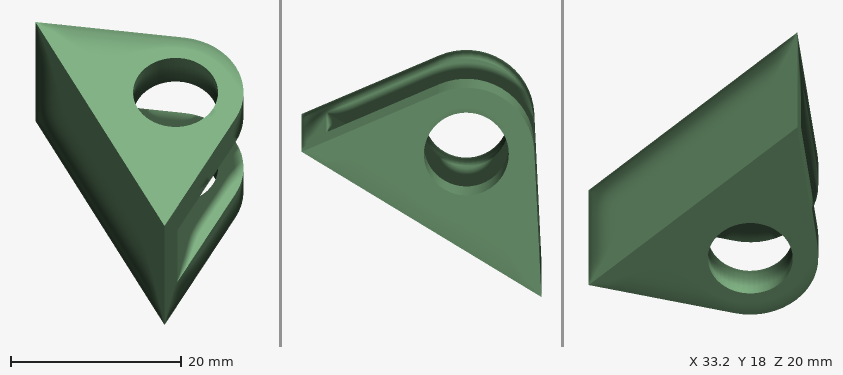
import cadquery as cq
import math

base_length = 33.2
height = 20.0
base_to_bore = 10.0
nose_radius = 8.0
bore_diameter = 10.0
wall_thickness = 2.62
gap_height = 10.45

half_length = base_length / 2
depth = base_to_bore + nose_radius

corner_to_bore = math.hypot(half_length, base_to_bore)
side_length = math.sqrt(corner_to_bore**2 - nose_radius**2)
side_angle = math.atan2(base_to_bore, half_length) + math.asin(nose_radius / corner_to_bore)
tangent_x = half_length - side_length * math.cos(side_angle)
tangent_y = side_length * math.sin(side_angle)


def clevis_body():
    """Triangular block with a rounded nose, base wall on Y = 0."""
    return (
        cq.Workplane("XY")
        .moveTo(-half_length, 0)
        .lineTo(half_length, 0)
        .lineTo(tangent_x, tangent_y)
        .threePointArc((0, depth), (-tangent_x, tangent_y))
        .close()
        .extrude(height)
    )


def gap_between_lugs():
    """Full-width slot that leaves the base wall and two equal lugs."""
    return (
        cq.Workplane("XY")
        .box(base_length, depth - wall_thickness, gap_height, centered=(True, False, True))
        .translate((0, wall_thickness, height / 2))
    )


def pin_bore():
    """Hole through both lugs, concentric with the nose."""
    return cq.Workplane("XY").center(0, base_to_bore).circle(bore_diameter / 2).extrude(height)


result = clevis_body().cut(gap_between_lugs()).cut(pin_bore())